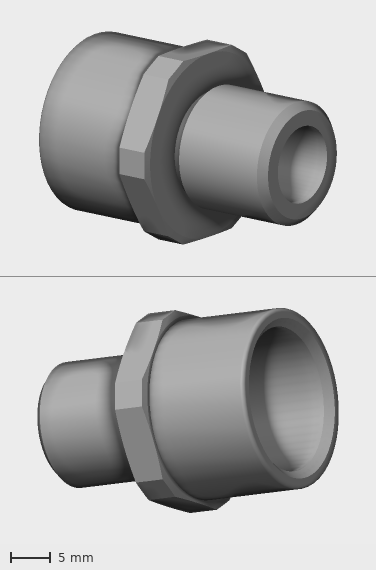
import cadquery as cq
import math

total_length = 33.5
socket_length = 14.0
hex_width = 4.5
neck_length = 1.5

socket_radius = 11.5
socket_edge_fillet = 0.5
socket_bore_radius = 9.2
socket_bore_depth = socket_length
mouth_chamfer = 1.0

across_flats = 24.0
hex_sides = 6
half_side_angle = 180 / hex_sides
corner_cut = 1.0
collar_chamfer_angle = 15.0

neck_radius = 7.0
spigot_radius = 8.0
spigot_chamfer = 1.0
through_bore_radius = 5.0

hex_end = socket_length + hex_width
spigot_start = hex_end + neck_length


def rod(start, length, radius):
    """Round bar along +X from the given station."""
    return cq.Workplane("YZ", origin=(start, 0, 0)).circle(radius).extrude(length)


def across_corners(flats):
    """Corner-to-corner size of a hexagon with the given size across flats."""
    return flats / math.cos(math.radians(half_side_angle))


def hex_prism(flats):
    """Hexagonal prism of the collar width with two corners on the Y axis."""
    plane = cq.Workplane("YZ", origin=(socket_length, 0, 0))
    return plane.polygon(hex_sides, across_corners(flats)).extrude(hex_width)


def make_collar():
    """Hexagon with flat-cut corners and conical chamfers on both faces."""
    corner_diameter = across_corners(across_flats)
    corner_flats = hex_prism(corner_diameter - 2 * corner_cut)
    corner_flats = corner_flats.rotate((0, 0, 0), (1, 0, 0), half_side_angle)
    collar = hex_prism(across_flats).intersect(corner_flats)

    face_radius = across_flats / 2
    chamfer_reach = corner_diameter / 2 - face_radius
    chamfer_depth = chamfer_reach * math.tan(math.radians(collar_chamfer_angle))
    envelope = rod(socket_length, hex_width, corner_diameter / 2)
    envelope = envelope.faces("<X or >X").chamfer(chamfer_depth, chamfer_reach)
    return collar.intersect(envelope)


def make_socket():
    """Round socket with a rounded rim."""
    return rod(0, socket_length, socket_radius).faces("<X").edges().fillet(socket_edge_fillet)


def make_spigot():
    """Relief neck followed by the chamfered spigot."""
    neck = rod(hex_end, neck_length, neck_radius)
    spigot = rod(spigot_start, total_length - spigot_start, spigot_radius)
    return neck.union(spigot.faces(">X").edges().chamfer(spigot_chamfer))


def make_bores():
    """Through bore and socket bore with a conical mouth."""
    mouth_radius = socket_bore_radius + mouth_chamfer
    mouth = cq.Workplane("XY").polyline([
        (0, 0),
        (0, mouth_radius),
        (mouth_chamfer, socket_bore_radius),
        (socket_bore_depth, socket_bore_radius),
        (socket_bore_depth, 0),
    ]).close().revolve(360, (0, 0, 0), (1, 0, 0))
    return mouth.union(rod(0, total_length, through_bore_radius))


body = make_socket().union(make_collar()).union(make_spigot())
result = body.cut(make_bores())